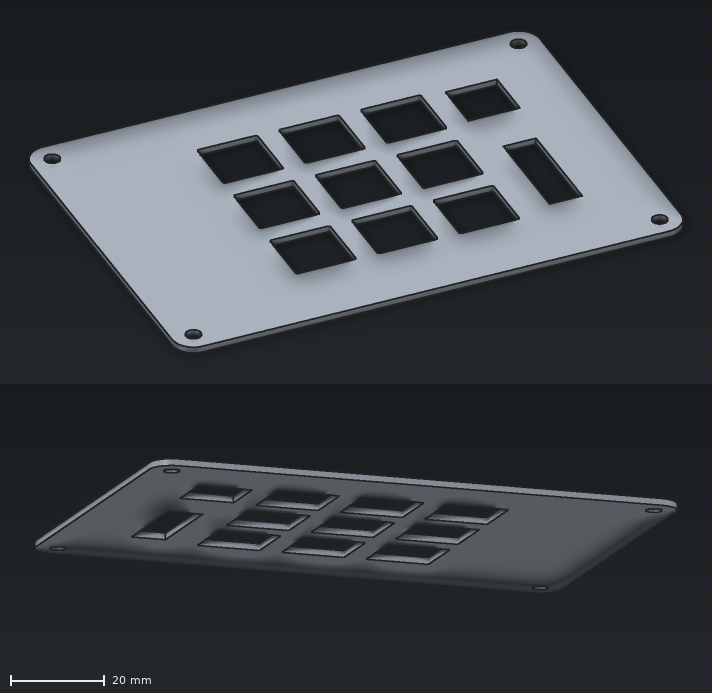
import cadquery as cq

plate_width = 83.9
plate_length = 118.7
plate_thickness = 1.5
corner_radius = 5.0

screw_diameter = 3.5
screw_spacing_x = plate_width - 2 * corner_radius
screw_spacing_y = plate_length - 2 * corner_radius

keys_per_side = 3
key_size = 14.0
key_corner_radius = 0.5
key_grid_span = 38.1
key_pitch = key_grid_span / (keys_per_side - 1)
key_grid_center = (-1.4, 1.2)

square_size = 12.0
square_center = (-20.3, 38.6)
slot_width = 24.2
slot_height = 7.6
slot_center = (9.9, 39.2)


def window(width, height, center):
    """Sharp-cornered rectangular cutter through the plate."""
    return cq.Workplane("XY").center(*center).rect(width, height).extrude(plate_thickness)


def make_plate():
    blank = cq.Workplane("XY").rect(plate_width, plate_length).extrude(plate_thickness)
    rounded = blank.edges("|Z").fillet(corner_radius)
    return (
        rounded.faces(">Z").workplane()
        .rect(screw_spacing_x, screw_spacing_y, forConstruction=True)
        .vertices()
        .hole(screw_diameter)
    )


def make_key_cutters():
    return (
        cq.Workplane("XY").center(*key_grid_center)
        .rarray(key_pitch, key_pitch, keys_per_side, keys_per_side)
        .rect(key_size, key_size)
        .extrude(plate_thickness)
        .edges("|Z").fillet(key_corner_radius)
    )


result = (
    make_plate()
    .cut(make_key_cutters())
    .cut(window(square_size, square_size, square_center))
    .cut(window(slot_width, slot_height, slot_center))
)